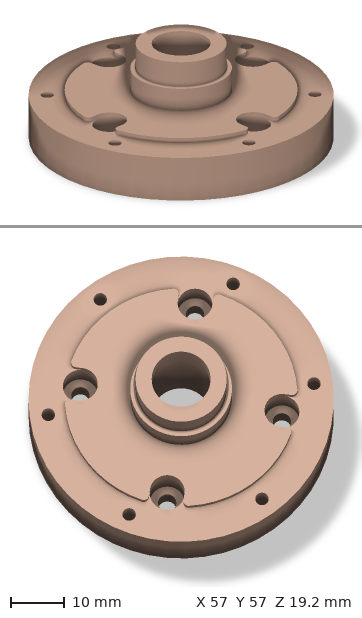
import cadquery as cq
import math

flange_diameter = 57.0
flange_thickness = 8.75

plate_diameter = 43.5
plate_thickness = 1.0
notch_corner_radius = 1.0
edge_tolerance = 0.001

collar_diameter = 19.0
collar_height = 4.5
spigot_diameter = 17.0
spigot_height = 5.0
bore_diameter = 11.0

screw_count = 4
screw_circle_radius = 19.0
screw_start_angle = 15.0
screw_hole_diameter = 3.4
counterbore_diameter = 6.5
counterbore_depth = 5.0

rim_hole_count = 6
rim_hole_circle_radius = 25.0
rim_hole_diameter = 2.5

plate_top = flange_thickness + plate_thickness
collar_top = plate_top + collar_height
overall_height = collar_top + spigot_height


def cylinder(diameter, bottom, top):
    """Cylinder on the part axis between two heights."""
    return cq.Workplane("XY").workplane(offset=bottom).circle(diameter / 2).extrude(top - bottom)


def hole_ring(diameter, circle_radius, start_angle, count, bottom, top):
    """Equally spaced cylinders on a circle around the part axis."""
    return (
        cq.Workplane("XY")
        .workplane(offset=bottom)
        .polarArray(circle_radius, start_angle, 360, count)
        .circle(diameter / 2)
        .extrude(top - bottom)
    )


def edge_notch(angle):
    """Radial slot, as wide as a counterbore, running from a screw axis out past the plate edge."""
    slot_length = flange_diameter / 2 - screw_circle_radius
    return (
        cq.Workplane("XY")
        .workplane(offset=flange_thickness)
        .center(screw_circle_radius + slot_length / 2, 0)
        .rect(slot_length, counterbore_diameter)
        .extrude(plate_thickness)
        .rotate((0, 0, 0), (0, 0, 1), angle)
    )


def is_outer_corner(edge):
    """True for a vertical plate edge lying on the plate's outer diameter."""
    center = edge.Center()
    distance_from_axis = math.hypot(center.x, center.y)
    return math.isclose(distance_from_axis, plate_diameter / 2, abs_tol=edge_tolerance)


def notched_plate():
    """Raised plate with a notch at each screw and rounded outer notch corners."""
    plate = cylinder(plate_diameter, flange_thickness, plate_top)
    for index in range(screw_count):
        plate = plate.cut(edge_notch(screw_start_angle + index * 360 / screw_count))
    return plate.edges("|Z").filter(is_outer_corner).fillet(notch_corner_radius)


def stepped_body():
    """Flange, notched plate and two-step hub joined into one solid."""
    flange = cylinder(flange_diameter, 0, flange_thickness)
    collar = cylinder(collar_diameter, flange_thickness, collar_top)
    spigot = cylinder(spigot_diameter, flange_thickness, overall_height)
    return flange.union(notched_plate()).union(collar).union(spigot)


def cut_screw_holes(body):
    """Through holes with counterbores that also round the inner end of each notch."""
    screw_ring = (screw_circle_radius, screw_start_angle, screw_count)
    counterbore_floor = flange_thickness - counterbore_depth
    holes = hole_ring(screw_hole_diameter, *screw_ring, 0, flange_thickness)
    counterbores = hole_ring(counterbore_diameter, *screw_ring, counterbore_floor, plate_top)
    return body.cut(holes).cut(counterbores)


def cut_rim_holes(body):
    """Plain through holes around the flange rim."""
    holes = hole_ring(rim_hole_diameter, rim_hole_circle_radius, 0, rim_hole_count, 0, flange_thickness)
    return body.cut(holes)


def cut_bore(body):
    """Central bore through the full height."""
    return body.cut(cylinder(bore_diameter, 0, overall_height))


result = cut_bore(cut_rim_holes(cut_screw_holes(stepped_body())))